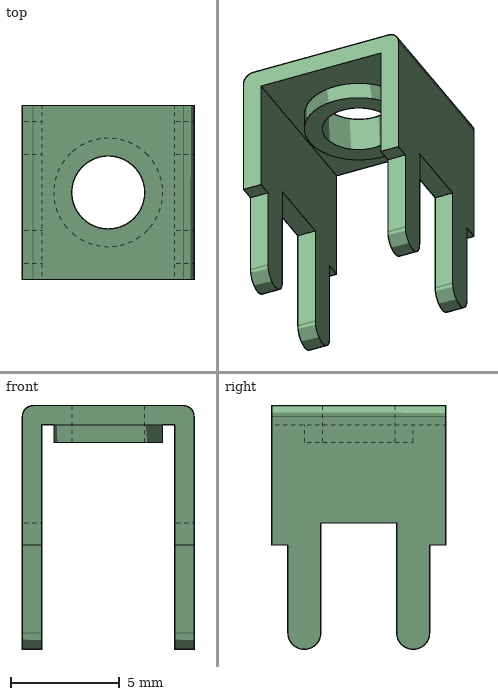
import cadquery as cq

width = 7.9
depth = 8.0
height = 11.2

wall = 0.9
bend_radius = 0.5
side_height = 6.41
web_height = 5.4

leg_pitch = 5.0
leg_width = 1.52

hole_diameter = 3.34
collar_diameter = 5.0
collar_length = 0.81

leg_radius = leg_width / 2
leg_inner = leg_pitch / 2 - leg_radius
leg_outer = leg_pitch / 2 + leg_radius
tip_center_z = leg_radius
shoulder_z = height - side_height
web_z = height - web_height


def make_channel():
    """Inverted U with rounded outer bends and sharp inner corners."""
    outer = cq.Workplane("XY").box(width, depth, height, centered=(True, True, False))
    outer = outer.edges("|Y and >Z").fillet(bend_radius)
    inner = cq.Workplane("XY").box(
        width - 2 * wall, depth, height - wall, centered=(True, True, False)
    )
    return outer.cut(inner)


def make_side_profile():
    """Outline of both side walls, extruded across the full width."""
    return (
        cq.Workplane("YZ")
        .moveTo(-depth / 2, height)
        .lineTo(-depth / 2, shoulder_z)
        .lineTo(-leg_outer, shoulder_z)
        .lineTo(-leg_outer, tip_center_z)
        .threePointArc((-leg_pitch / 2, 0), (-leg_inner, tip_center_z))
        .lineTo(-leg_inner, web_z)
        .lineTo(leg_inner, web_z)
        .lineTo(leg_inner, tip_center_z)
        .threePointArc((leg_pitch / 2, 0), (leg_outer, tip_center_z))
        .lineTo(leg_outer, shoulder_z)
        .lineTo(depth / 2, shoulder_z)
        .lineTo(depth / 2, height)
        .close()
        .extrude(width / 2, both=True)
    )


def make_collar():
    """Round collar reaching from mid-plate to below the top plate."""
    overlap = wall / 2
    return (
        cq.Workplane("XY")
        .workplane(offset=height - wall - collar_length)
        .circle(collar_diameter / 2)
        .extrude(collar_length + overlap)
    )


def make_hole():
    """Cutter for the through hole in the plate and collar."""
    return cq.Workplane("XY").circle(hole_diameter / 2).extrude(height)


sheet = make_channel().intersect(make_side_profile())
result = sheet.union(make_collar()).cut(make_hole())